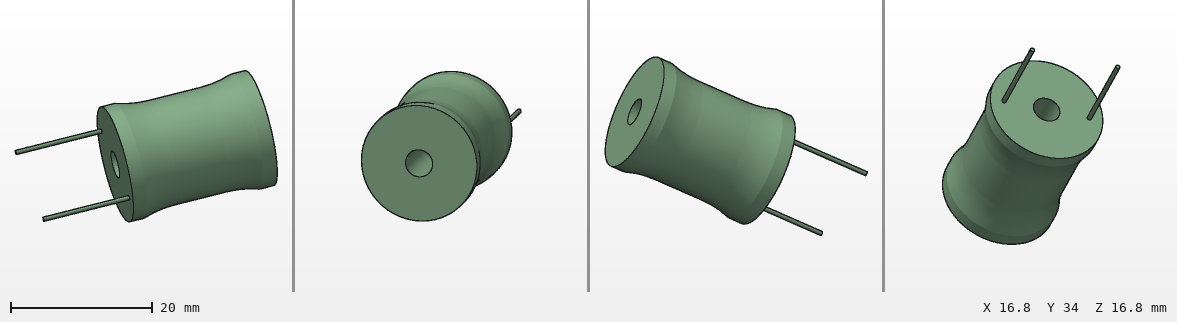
import cadquery as cq
import math

flange_diameter = 16.764
waist_diameter = 15.24
core_length = 21.336
flange_thickness = 2.04
waist_length = 7.75
bore_diameter = 3.92

lead_diameter = 0.635
lead_spacing = 12.7
lead_length = 12.7

flange_radius = flange_diameter / 2
waist_radius = waist_diameter / 2
flare_length = (core_length - waist_length) / 2 - flange_thickness
flare_rise = flange_radius - waist_radius
flare_radius = (flare_length**2 + flare_rise**2) / (2 * flare_rise)


def flare_midpoint(waist_end, direction):
    """Middle point of the flare arc starting at waist_end and running along direction."""
    half_angle = math.asin(flare_length / flare_radius) / 2
    return (
        waist_radius + flare_radius * (1 - math.cos(half_angle)),
        waist_end + direction * flare_radius * math.sin(half_angle),
    )


def make_core():
    """Revolve the flanged, waisted profile around Y, leaving the bore open."""
    bore_radius = bore_diameter / 2
    front_waist_end = flange_thickness + flare_length
    back_waist_end = front_waist_end + waist_length
    back_flange_start = core_length - flange_thickness
    profile = (
        cq.Workplane("XY")
        .moveTo(bore_radius, 0)
        .lineTo(flange_radius, 0)
        .lineTo(flange_radius, flange_thickness)
        .threePointArc(flare_midpoint(front_waist_end, -1), (waist_radius, front_waist_end))
        .lineTo(waist_radius, back_waist_end)
        .threePointArc(flare_midpoint(back_waist_end, 1), (flange_radius, back_flange_start))
        .lineTo(flange_radius, core_length)
        .lineTo(bore_radius, core_length)
        .close()
    )
    return profile.revolve(360, (0, 0, 0), (0, 1, 0))


def make_leads():
    """Extrude both leads from the lead face toward -Y."""
    lead_centers = [(side * lead_spacing / 2, 0) for side in (-1, 1)]
    return (
        cq.Workplane("XZ")
        .pushPoints(lead_centers)
        .circle(lead_diameter / 2)
        .extrude(lead_length)
    )


result = make_core().union(make_leads())